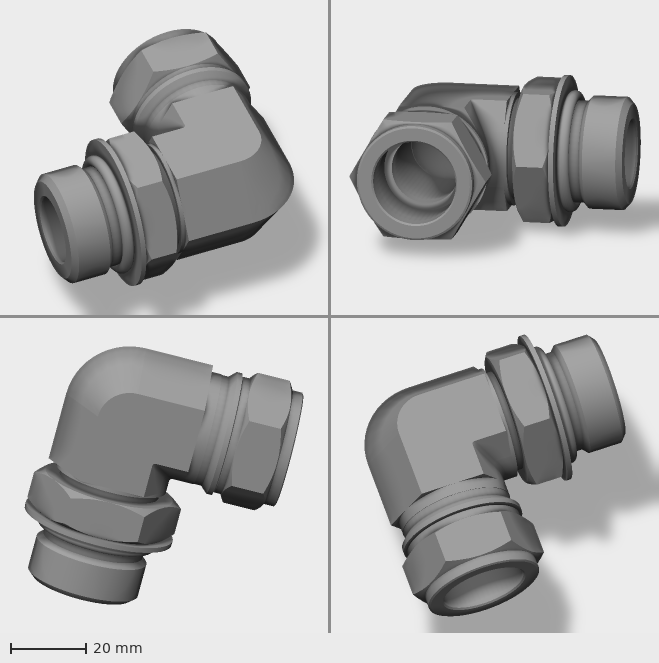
import cadquery as cq
import math


OVERALL_LENGTH_Y = 68.9
HEX_SIDES = 6
HEX_HALF_ANGLE = 180 / HEX_SIDES
NUT_CHAMFER_ANGLE = 30.0

BODY_FLATS = 30.2
LEG_LENGTH = 18.4
INNER_CORNER_FILLET = 1.0

TUBE_PORT_END = 43.82
TUBE_BORE_DIA = 18.3
SOCKET_DIA = 22.4
SOCKET_MOUTH_DIA = 23.3
SOCKET_DEPTH = 16.3

TUBE_SHOULDER_DIA = BODY_FLATS
TUBE_SHOULDER_AT = 21.35
TUBE_NECK_DIA = 29.9
RING_DIA = 33.4
RING_CONE_AT = 23.45
RING_AT = 25.3
RING_END_AT = 26.7
GAP_DIA = 28.58
GAP_END_AT = 26.95

TUBE_NUT_FLATS = 32.0
TUBE_NUT_AT = 29.0
TUBE_NUT_END_AT = 40.8
REAR_COLLAR_DIA = 31.7
REAR_COLLAR_CHAMFER = 0.2
FRONT_COLLAR_DIA = 31.2
FRONT_FACE_DIA = 30.12

STUD_END = OVERALL_LENGTH_Y - TUBE_NUT_FLATS / math.sqrt(3)
STUD_BORE_DIA = 18.0
STUD_BORE_CHAMFER = 0.45
STUD_DIA = 30.2
STUD_TIP_DIA = 26.8
STUD_TIP_CHAMFER = 1.5
STUD_NECK_DIA = 27.2
STUD_SHOULDER_AT = 19.45
STUD_CONE_AT = 38.55
STUD_FULL_AT = 39.9

LOCK_NUT_FLATS = 35.0
LOCK_NUT_AT = 21.5
LOCK_NUT_END_AT = 31.7
WASHER_DIA = 40.4
WASHER_END_AT = 33.05
O_RING_WIRE_DIA = 3.15
O_RING_OUTER_DIA = 32.5


def corner_radius(flats):
    """Centre-to-corner distance of a hexagon."""
    return flats / math.sqrt(3)


def turned(profile):
    """Solid of revolution about the local Z axis from (diameter, height) pairs."""
    outline = [(diameter / 2, height) for diameter, height in profile]
    return cq.Workplane("XZ").polyline(outline).close().revolve(360, (0, 0), (0, 1))


def to_tube_port(shape):
    """Turn a shape built along local +Z so that it points along -X."""
    return shape.rotate((0, 0, 0), (0, 1, 0), -90)


def to_stud_port(shape):
    """Turn a shape built along local +Z so that it points along -Y."""
    return to_tube_port(shape).rotate((0, 0, 0), (0, 0, 1), 90)


def hex_nut(flats, start, end, start_face_dia, end_face_dia):
    """Solid hexagon along Z with flats facing +-X and conical corner chamfers."""
    corner = corner_radius(flats)
    slope = math.tan(math.radians(NUT_CHAMFER_ANGLE))
    hexagon = (
        cq.Workplane("XY", origin=(0, 0, start))
        .polygon(HEX_SIDES, 2 * corner)
        .extrude(end - start)
        .rotate((0, 0, 0), (0, 0, 1), HEX_HALF_ANGLE)
    )
    envelope = turned([
        (0, start),
        (start_face_dia, start),
        (2 * corner, start + (corner - start_face_dia / 2) * slope),
        (2 * corner, end - (corner - end_face_dia / 2) * slope),
        (end_face_dia, end),
        (0, end),
    ])
    return hexagon.intersect(envelope)


def leg_section(plane):
    """Leg cross-section: half hexagon outside, inscribed circle inside."""
    radius = BODY_FLATS / 2
    corner = corner_radius(BODY_FLATS)
    tangent_x = -radius * math.cos(math.radians(HEX_HALF_ANGLE))
    tangent_z = radius * math.sin(math.radians(HEX_HALF_ANGLE))
    return (
        cq.Workplane(plane)
        .moveTo(tangent_x, tangent_z)
        .lineTo(-corner / 2, radius)
        .lineTo(corner / 2, radius)
        .lineTo(corner, 0)
        .lineTo(corner / 2, -radius)
        .lineTo(-corner / 2, -radius)
        .lineTo(tangent_x, -tangent_z)
        .threePointArc((-radius, 0), (tangent_x, tangent_z))
        .close()
    )


def elbow_body():
    """Two mitred legs joined by a quarter turn of the outer half hexagon."""
    radius = BODY_FLATS / 2
    corner = corner_radius(BODY_FLATS)
    tube_leg = leg_section("YZ").extrude(-LEG_LENGTH)
    stud_leg = leg_section("XZ").extrude(LEG_LENGTH)
    outer_half = [(0, -radius), (corner / 2, -radius), (corner, 0), (corner / 2, radius), (0, radius)]
    bend = (
        cq.Workplane("XZ")
        .polyline(outer_half)
        .close()
        .revolve(90, (0, 0), (0, 1))
    )
    body = tube_leg.union(stud_leg).union(bend)
    near = -corner / 2 - INNER_CORNER_FILLET / 2
    mitre_edges = cq.selectors.BoxSelector((-radius, -radius, -radius), (near, near, radius))
    return body.edges(mitre_edges).fillet(INNER_CORNER_FILLET)


def tube_port():
    """Shoulder, neck, cutting ring and union nut around the tube axis."""
    neck_and_ring = turned([
        (0, 0),
        (TUBE_SHOULDER_DIA, 0),
        (TUBE_SHOULDER_DIA, TUBE_SHOULDER_AT),
        (TUBE_NECK_DIA, TUBE_SHOULDER_AT),
        (TUBE_NECK_DIA, RING_CONE_AT),
        (RING_DIA, RING_AT),
        (RING_DIA, RING_END_AT),
        (GAP_DIA, RING_END_AT),
        (GAP_DIA, GAP_END_AT),
        (0, GAP_END_AT),
    ])
    front_bevel = (FRONT_COLLAR_DIA - FRONT_FACE_DIA) / 2 * math.tan(math.radians(NUT_CHAMFER_ANGLE))
    collars = turned([
        (0, GAP_END_AT),
        (REAR_COLLAR_DIA - 2 * REAR_COLLAR_CHAMFER, GAP_END_AT),
        (REAR_COLLAR_DIA, GAP_END_AT + REAR_COLLAR_CHAMFER),
        (REAR_COLLAR_DIA, TUBE_NUT_AT),
        (FRONT_COLLAR_DIA, TUBE_NUT_AT),
        (FRONT_COLLAR_DIA, TUBE_PORT_END - front_bevel),
        (FRONT_FACE_DIA, TUBE_PORT_END),
        (0, TUBE_PORT_END),
    ])
    nut = hex_nut(TUBE_NUT_FLATS, TUBE_NUT_AT, TUBE_NUT_END_AT, REAR_COLLAR_DIA, FRONT_COLLAR_DIA)
    return to_tube_port(neck_and_ring.union(collars).union(nut))


def stud_port():
    """Threaded stud with lock nut, washer and O-ring."""
    stud = turned([
        (0, 0),
        (BODY_FLATS, 0),
        (BODY_FLATS, STUD_SHOULDER_AT),
        (STUD_NECK_DIA, STUD_SHOULDER_AT),
        (STUD_NECK_DIA, STUD_CONE_AT),
        (STUD_DIA, STUD_FULL_AT),
        (STUD_DIA, STUD_END - STUD_TIP_CHAMFER),
        (STUD_TIP_DIA, STUD_END),
        (0, STUD_END),
    ])
    nut = hex_nut(LOCK_NUT_FLATS, LOCK_NUT_AT, LOCK_NUT_END_AT, LOCK_NUT_FLATS, LOCK_NUT_FLATS)
    washer = (
        cq.Workplane("XY", origin=(0, 0, LOCK_NUT_END_AT))
        .circle(WASHER_DIA / 2)
        .extrude(WASHER_END_AT - LOCK_NUT_END_AT)
    )
    wire_radius = O_RING_WIRE_DIA / 2
    ring_radius = O_RING_OUTER_DIA / 2 - wire_radius
    o_ring = (
        cq.Workplane("XZ")
        .center(ring_radius, WASHER_END_AT + wire_radius)
        .circle(wire_radius)
        .revolve(360, (-ring_radius, 0), (-ring_radius, 1))
    )
    return to_stud_port(stud.union(nut).union(washer).union(o_ring))


def passage():
    """Flow bores joined by a quarter-turn spherical corner, with the tube socket."""
    socket_floor = TUBE_PORT_END - SOCKET_DEPTH
    mouth_chamfer = (SOCKET_MOUTH_DIA - SOCKET_DIA) / 2
    tube_bore = turned([
        (0, 0),
        (TUBE_BORE_DIA, 0),
        (TUBE_BORE_DIA, socket_floor),
        (SOCKET_DIA, socket_floor),
        (SOCKET_DIA, TUBE_PORT_END - mouth_chamfer),
        (SOCKET_MOUTH_DIA, TUBE_PORT_END),
        (0, TUBE_PORT_END),
    ])
    stud_bore = turned([
        (0, 0),
        (STUD_BORE_DIA, 0),
        (STUD_BORE_DIA, STUD_END - STUD_BORE_CHAMFER),
        (STUD_BORE_DIA + 2 * STUD_BORE_CHAMFER, STUD_END),
        (0, STUD_END),
    ])
    radius = STUD_BORE_DIA / 2
    corner = (
        cq.Workplane("XZ")
        .moveTo(0, -radius)
        .threePointArc((radius, 0), (0, radius))
        .close()
        .revolve(90, (0, 0), (0, 1))
    )
    return to_tube_port(tube_bore).union(to_stud_port(stud_bore)).union(corner)


result = elbow_body().union(tube_port()).union(stud_port()).cut(passage())